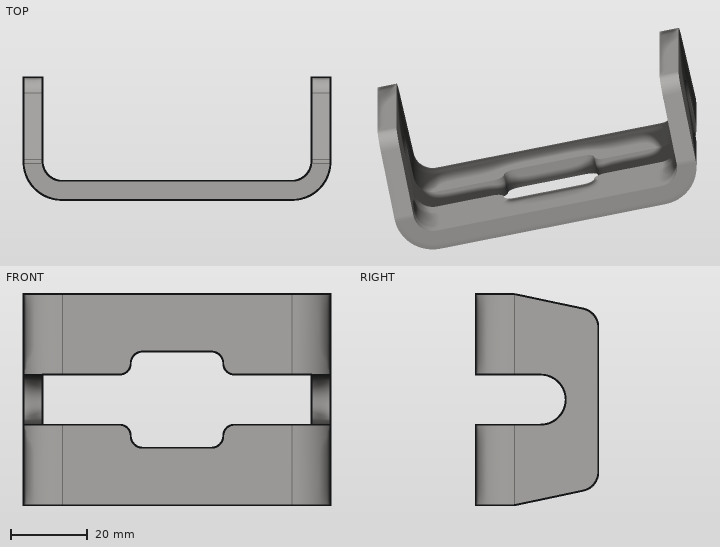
import cadquery as cq

length = 80.0
depth = 32.0
height = 55.0

thickness = 5.0
bend_inner_radius = 5.0
bend_outer_radius = bend_inner_radius + thickness

taper_drop = 4.6
rear_corner_radius = 5.0
taper_start_radius = 5.0

slot_height = 13.0
slot_depth = 23.4

window_width = 24.0
window_height = 25.0


def bent_sheet():
    """U-shaped channel with concentric inner and outer bends."""
    outer = (
        cq.Workplane("XY")
        .box(length, depth, height, centered=(True, False, True))
        .edges("|Z and <Y")
        .fillet(bend_outer_radius)
    )
    inner = (
        cq.Workplane("XY")
        .box(length - 2 * thickness, depth, height, centered=(True, False, True))
        .edges("|Z and <Y")
        .fillet(bend_inner_radius)
        .translate((0, thickness, 0))
    )
    return outer.cut(inner)


def flange_envelope():
    """Side outline: straight over the bends, tapering to rounded rear corners."""
    top = height / 2
    rear = top - taper_drop
    return (
        cq.Workplane("YZ")
        .polyline([
            (0, -top),
            (bend_outer_radius, -top),
            (depth, -rear),
            (depth, rear),
            (bend_outer_radius, top),
            (0, top),
        ])
        .close()
        .extrude(length / 2, both=True)
        .edges("|X and >Y")
        .fillet(rear_corner_radius)
        .edges(cq.selectors.BoxSelector(
            (-length, bend_outer_radius - thickness, -height),
            (length, bend_outer_radius + thickness, height),
        ))
        .edges("|X")
        .fillet(taper_start_radius)
    )


def side_slot():
    """Open-fronted slot with a full-round end, running the whole length."""
    radius = slot_height / 2
    arc_start = slot_depth - radius
    return (
        cq.Workplane("YZ")
        .moveTo(0, -radius)
        .lineTo(arc_start, -radius)
        .threePointArc((slot_depth, 0), (arc_start, radius))
        .lineTo(0, radius)
        .close()
        .extrude(length / 2, both=True)
    )


def window_half():
    """Upper half of the web opening, with S-curved walls of two quarter arcs."""
    half_width = window_width / 2
    top = window_height / 2
    base = slot_height / 2
    radius = (top - base) / 2
    middle = base + radius
    return (
        cq.Workplane("XZ")
        .moveTo(-half_width - radius, 0)
        .lineTo(-half_width - radius, base)
        .radiusArc((-half_width, middle), -radius)
        .radiusArc((-half_width + radius, top), radius)
        .lineTo(half_width - radius, top)
        .radiusArc((half_width, middle), radius)
        .radiusArc((half_width + radius, base), -radius)
        .lineTo(half_width + radius, 0)
        .close()
        .extrude(-thickness)
    )


upper_window = window_half()
lower_window = upper_window.mirror("XY")

result = (
    bent_sheet()
    .intersect(flange_envelope())
    .cut(side_slot())
    .cut(upper_window)
    .cut(lower_window)
)